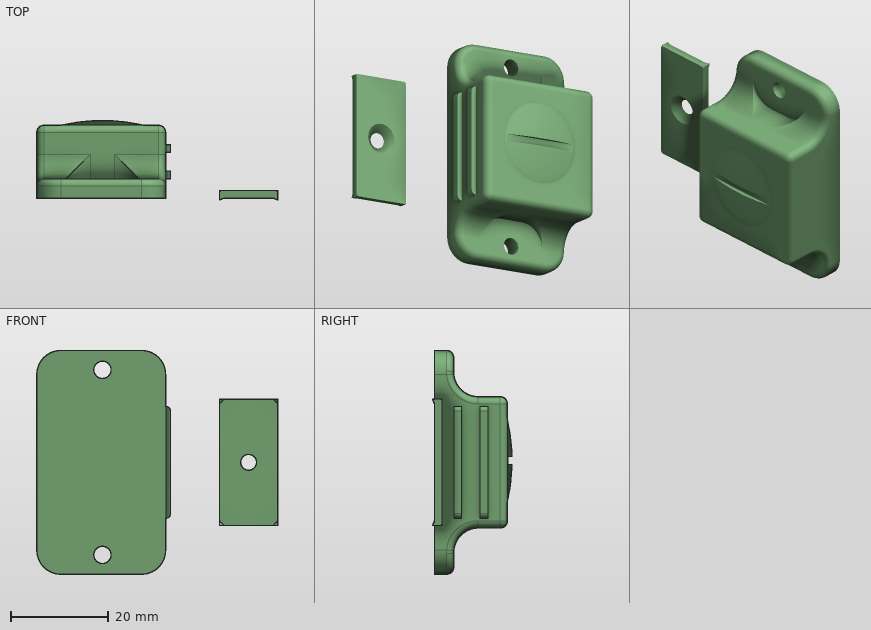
import cadquery as cq
import math


housing_left = -13.5
housing_right = 13.0
housing_width = housing_right - housing_left
housing_depth = 15.0
flange_half_height = 23.0
flange_thickness = 4.0
block_half_height = 13.5
cove_radius = 5.0
corner_radius = 5.0
edge_radius = 1.5

hole_diameter = 3.5
hole_offset_z = 19.0
recess_width = 15.0
recess_radius = 5.0

dome_diameter = 17.0
dome_rise = 1.0
dome_z = 0.4
slot_width = 1.6
slot_depth = 0.9

pole_thickness = 1.6
pole_spacing = 5.4
pole_height = 23.0
pole_projection = 1.0
pole_inset = 13.0
pole_corner_radius = 1.0

strike_width = 12.0
strike_height = 26.0
strike_thickness = 1.6
strike_left = 24.0
strike_hole_diameter = 3.2
lip_leg = 1.0
lip_rise = 0.4
back_bevel = 0.35


def y_box(width, depth, height, x, y, z):
    """Box centred on x and z that starts at y and runs toward +Y."""
    return cq.Workplane("XY").box(width, depth, height).translate((x, y + depth / 2, z))


def y_cylinder(diameter, depth, x, y, z):
    """Round bar along Y that starts at y and runs toward +Y."""
    return cq.Workplane("XZ", origin=(x, y, z)).circle(diameter / 2).extrude(-depth)


def pole_plates():
    """Two parallel plates that stick out of the +X wall."""
    length = pole_inset + pole_projection
    middle_x = housing_right + pole_projection - length / 2
    plates = []
    for side in (-1, 1):
        start_y = housing_depth / 2 + side * pole_spacing / 2 - pole_thickness / 2
        plate = y_box(length, pole_thickness, pole_height, middle_x, start_y, 0)
        plates.append(plate.edges("|Y").fillet(pole_corner_radius))
    return plates


def housing_shell():
    """Flange and block joined by coves, with rounded edges all round the outer side."""
    cove_end = block_half_height + cove_radius
    cove_start_y = flange_thickness + cove_radius
    mid = cove_radius * (1 - math.sqrt(0.5))
    cove_mid_y = flange_thickness + mid
    cove_mid_z = block_half_height + mid
    side_profile = (
        cq.Workplane("YZ", origin=(housing_left, 0, 0))
        .moveTo(0, -flange_half_height)
        .lineTo(flange_thickness, -flange_half_height)
        .lineTo(flange_thickness, -cove_end)
        .threePointArc((cove_mid_y, -cove_mid_z), (cove_start_y, -block_half_height))
        .lineTo(housing_depth, -block_half_height)
        .lineTo(housing_depth, block_half_height)
        .lineTo(cove_start_y, block_half_height)
        .threePointArc((cove_mid_y, cove_mid_z), (flange_thickness, cove_end))
        .lineTo(flange_thickness, flange_half_height)
        .lineTo(0, flange_half_height)
        .close()
        .extrude(housing_width)
    )
    middle_x = (housing_left + housing_right) / 2
    front_outline = y_box(housing_width, housing_depth, 2 * flange_half_height, middle_x, 0, 0)
    shell = side_profile.intersect(front_outline.edges("|Y").fillet(corner_radius))
    return shell.newObject(outer_edges(shell)).fillet(edge_radius)


def outer_edges(shell):
    """Edges from the flange's outer side outward, without the lines where the coves run into flat faces."""
    tolerance = 0.001
    edges = []
    for edge in shell.edges().vals():
        box = edge.BoundingBox()
        on_top = box.ymin > housing_depth - tolerance
        on_flange_end = max(abs(box.zmin), abs(box.zmax)) > flange_half_height - tolerance
        runs_along_x = box.ylen < tolerance and box.zlen < tolerance
        is_cove_line = runs_along_x and not on_top and not on_flange_end
        if box.ymin > flange_thickness - tolerance and not is_cove_line:
            edges.append(edge)
    return edges


def slotted_dome():
    """Shallow spherical cap on the outer face, with a slot across it along X."""
    dome_radius = dome_diameter / 2
    sphere_radius = (dome_radius**2 + dome_rise**2) / (2 * dome_rise)
    top_y = housing_depth + dome_rise
    sphere = cq.Workplane("XY").sphere(sphere_radius).translate((0, top_y - sphere_radius, dome_z))
    trim = y_cylinder(dome_diameter, 2 * dome_rise, 0, housing_depth - dome_rise, dome_z)
    cap = sphere.intersect(trim)
    slot = y_box(dome_diameter, slot_depth, slot_width, 0, top_y - slot_depth, dome_z)
    return cap.cut(slot)


def screw_recess(side):
    """Room for a screw head: a pocket cut into the cove, open toward the flange's end."""
    length = flange_half_height
    depth = housing_depth - flange_thickness
    middle_z = side * (block_half_height + length / 2)
    pocket = y_box(recess_width, depth, length, 0, flange_thickness, middle_z)
    return pocket.edges("|Y").fillet(recess_radius)


def housing_body(plates):
    """Housing with its dome, screw recesses, mounting holes and the slots that hold the pole plates."""
    body = housing_shell().union(slotted_dome())
    for side in (-1, 1):
        body = body.cut(screw_recess(side))
        body = body.cut(y_cylinder(hole_diameter, flange_thickness, 0, 0, side * hole_offset_z))
    for plate in plates:
        body = body.cut(plate)
    return body


def corner_pyramid(x, y, z, leg_x, leg_y, leg_z):
    """Three-sided pyramid with its square corner at (x, y, z); signed legs run along the axes."""
    corner = cq.Vector(x, y, z)
    tip_x = corner + cq.Vector(leg_x, 0, 0)
    tip_y = corner + cq.Vector(0, leg_y, 0)
    tip_z = corner + cq.Vector(0, 0, leg_z)
    faces = []
    for triangle in (
        (corner, tip_x, tip_y),
        (corner, tip_y, tip_z),
        (corner, tip_z, tip_x),
        (tip_x, tip_y, tip_z),
    ):
        outline = cq.Wire.makePolygon(triangle, close=True)
        faces.append(cq.Face.makeFromWires(outline))
    return cq.Workplane(cq.Solid.makeSolid(cq.Shell.makeShell(faces)))


def strike_plate():
    """Countersunk flat plate; each corner rises to a point in front and is bevelled behind."""
    middle_x = strike_left + strike_width / 2
    plate = y_box(strike_width, strike_thickness, strike_height, middle_x, 0, 0)
    for side_x in (-1, 1):
        for side_z in (-1, 1):
            x = middle_x + side_x * strike_width / 2
            z = side_z * strike_height / 2
            bevel = (-side_x * back_bevel, -back_bevel, -side_z * back_bevel)
            plate = plate.cut(corner_pyramid(x, strike_thickness, z, *bevel))
            lip = (-side_x * lip_leg, -lip_rise, -side_z * lip_leg)
            plate = plate.union(corner_pyramid(x, 0, z, *lip))
    return plate.cut(countersink(middle_x))


def countersink(x):
    """90 degree cone through the strike plate, narrowest at its front face."""
    small_radius = strike_hole_diameter / 2
    large_radius = small_radius + strike_thickness
    cone = cq.Solid.makeCone(
        small_radius, large_radius, strike_thickness, cq.Vector(x, 0, 0), cq.Vector(0, 1, 0)
    )
    return cq.Workplane(cone)


poles = pole_plates()
housing = housing_body(poles)
strike = strike_plate()

result = cq.Compound.makeCompound([housing.val(), *[pole.val() for pole in poles], strike.val()])